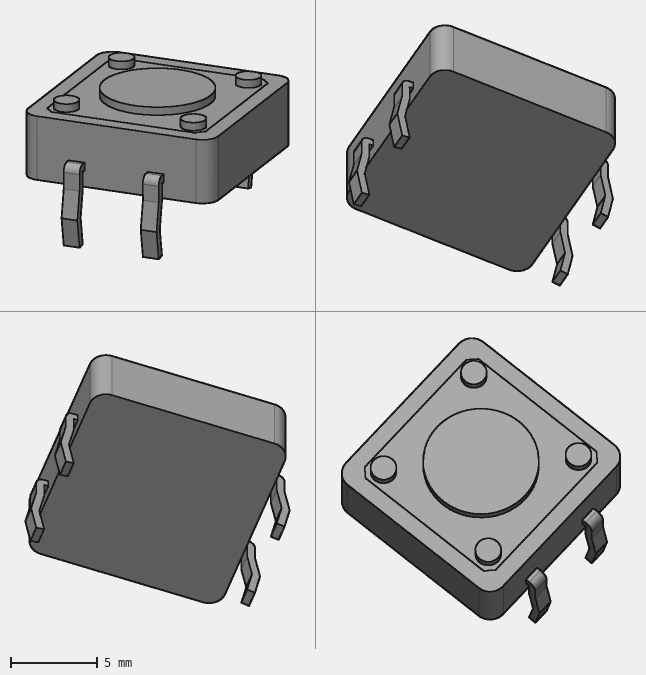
import cadquery as cq
import math

housing_side = 12.0
housing_height = 3.92
corner_radius = 1.0

cover_side = 10.0
cover_chamfer = 0.5
cover_thickness = 0.5
cover_bottom = housing_height - cover_thickness

stud_diameter = 1.5
stud_spacing = 8.0
button_diameter = 6.7
rise = 0.5

overall_length = 14.1
overall_height = 7.91
lead_width = 1.0
lead_spacing = 4.99
lead_thickness = 0.5
lead_top = 1.5
lead_bend_radius = 0.5
shank_reach = 0.73
kink_depth = 1.72

wall_y = housing_side / 2
shank_y = wall_y + shank_reach
kink_y = overall_length / 2
lead_bottom = housing_height + rise - overall_height


def chamfered_plate():
    """Square plate that fills the recess in the housing."""
    return (
        cq.Workplane("XY", origin=(0, 0, cover_bottom))
        .rect(cover_side, cover_side)
        .extrude(cover_thickness)
        .edges("|Z")
        .chamfer(cover_chamfer)
    )


def make_housing():
    """Rounded block with a recess for the cover."""
    block = (
        cq.Workplane("XY")
        .rect(housing_side, housing_side)
        .extrude(housing_height)
        .edges("|Z")
        .fillet(corner_radius)
    )
    return block.cut(chamfered_plate())


def make_button():
    """Round button that passes through the cover."""
    return (
        cq.Workplane("XY", origin=(0, 0, cover_bottom))
        .circle(button_diameter / 2)
        .extrude(cover_thickness + rise)
    )


def make_cover():
    """Plate with a hole for the button and a stud near each corner."""
    studs = (
        cq.Workplane("XY", origin=(0, 0, cover_bottom))
        .rect(stud_spacing, stud_spacing, forConstruction=True)
        .vertices()
        .circle(stud_diameter / 2)
        .extrude(cover_thickness + rise)
    )
    return chamfered_plate().union(studs).cut(make_button())


def make_lead(x, turn):
    """Lead on the +Y wall, centred at x, then turned about Z by the given angle."""
    upper_lean = math.atan2(kink_y - shank_y, kink_depth)
    lower_lean = math.atan2(kink_y - shank_y, -lead_bottom - kink_depth)

    inner_y = shank_y - lead_thickness
    inner_bend_z = -lead_thickness * math.tan(upper_lean / 2)
    inner_kink_y = kink_y - lead_thickness * (
        math.cos((upper_lean - lower_lean) / 2) / math.cos((upper_lean + lower_lean) / 2)
    )
    inner_kink_z = -kink_depth + lead_thickness * (
        math.sin((lower_lean - upper_lean) / 2) / math.cos((upper_lean + lower_lean) / 2)
    )
    tip_y = shank_y - lead_thickness * math.cos(lower_lean)
    tip_z = lead_bottom + lead_thickness * math.sin(lower_lean)

    return (
        cq.Workplane("YZ", origin=(x, 0, 0))
        .moveTo(wall_y, lead_top)
        .lineTo(shank_y - lead_bend_radius, lead_top)
        .radiusArc((shank_y, lead_top - lead_bend_radius), lead_bend_radius)
        .lineTo(shank_y, 0)
        .lineTo(kink_y, -kink_depth)
        .lineTo(shank_y, lead_bottom)
        .lineTo(tip_y, tip_z)
        .lineTo(inner_kink_y, inner_kink_z)
        .lineTo(inner_y, inner_bend_z)
        .lineTo(inner_y, lead_top - lead_thickness)
        .lineTo(wall_y, lead_top - lead_thickness)
        .close()
        .extrude(lead_width / 2, both=True)
        .rotate((0, 0, 0), (0, 0, 1), turn)
    )


housing = make_housing()
cover = make_cover()
button = make_button()
leads = []
for turn in (0, 180):
    for x in (-lead_spacing / 2, lead_spacing / 2):
        leads.append(make_lead(x, turn).val())

result = cq.Compound.makeCompound([housing.solids().val(), cover.solids().val(), button.val(), *leads])